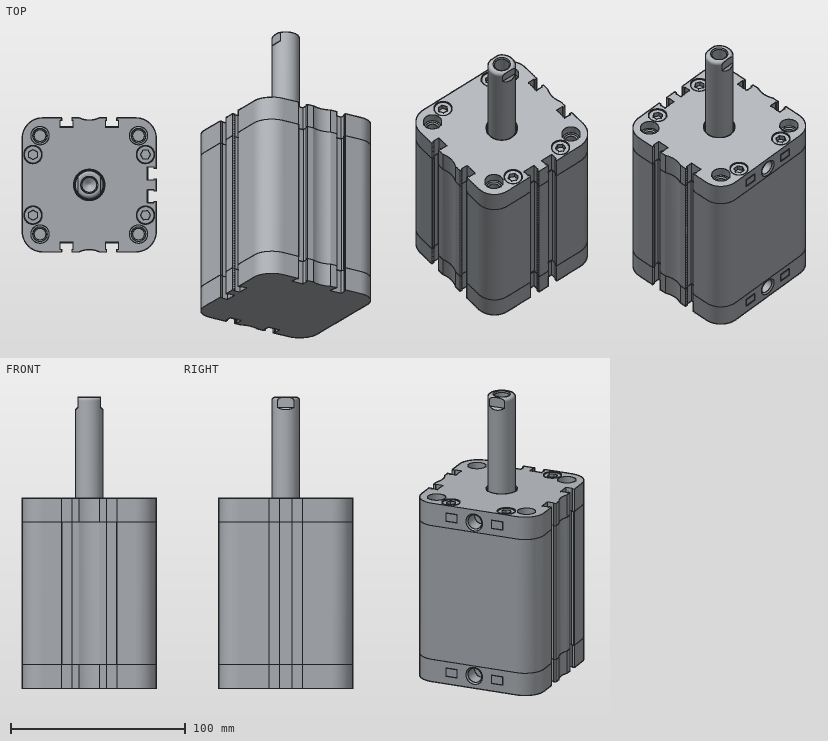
import cadquery as cq
import math

total_height = 167.0
body_width = 77.0
body_height = 109.2
cover_height = 13.7
corner_radius = 11.9
half_width = body_width / 2
barrel_top = body_height - cover_height

slot_mouth_width = 6.0
slot_inner_width = 7.3
cover_slot_depth = 5.3
barrel_slot_depth = 4.8
wide_slot_extra_depth = 0.3
slot_lip = 1.5
wide_slot_offset = 13.0
narrow_slot_offset = 6.5
concave_half_width = 5.8
concave_depth = 1.3

slot_edge_chamfer = 0.5
concave_edge_fillet = 1.3

rod_diameter = 16.0
rod_end_fillet = 2.0
rod_flat_width = 13.0
rod_flat_length = 5.8
rod_flat_run_out = 1.3
rod_bore_diameter = 8.5
rod_bore_mouth_diameter = 9.9
rod_bore_depth = 20.0
drill_point_angle = 118.0

rod_recess_diameter = 17.7
rod_recess_mouth_diameter = 18.0
rod_recess_depth = 1.3
rod_clearance_diameter = 16.5
rod_clearance_depth = 3.3

mount_offset = 28.2
mount_counterbore_diameter = 10.5
mount_counterbore_depth = 5.3
mount_mouth_diameter = 8.4
mount_hole_diameter = 6.7
mount_hole_depth = 11.7

screw_x = 32.2
screw_y = 17.4
screw_head_diameter = 9.9
screw_recess_diameter = 10.5
screw_gap_depth = 5.0
screw_head_sink = 0.5
socket_across_flats = 5.0
socket_depth = 3.3
screw_heads = [
    (-screw_x, -screw_y, 30.0),
    (-screw_x, screw_y, 30.0),
    (screw_x, screw_y, 0.0),
    (screw_x, -screw_y, 5.0),
]

port_end_distance = 7.7
port_diameter = 8.5
port_mouth_diameter = 10.4
port_depth = 10.0
feed_hole_diameter = 4.0
feed_hole_shift = 1.0
feed_hole_depth = 6.7
field_width = 7.0
field_height = 5.0
field_depth = 0.3
field_offset = 14.4
field_end_distance = 7.2


def slot_tool(along, side_angle, depth, chamfer, height):
    """T-slot cutter on the side facing side_angle; 'along' is its shift along that side.

    A chamfer above zero narrows the mouth on the edge nearest the corner and bevels that edge.
    """
    mouth = slot_mouth_width / 2
    inner = slot_inner_width / 2
    outward = math.copysign(1, along)
    outline = [
        (-mouth, 0),
        (-mouth, slot_lip),
        (-inner, slot_lip),
        (-inner, depth),
        (inner, depth),
        (inner, slot_lip),
        (mouth - chamfer, slot_lip),
    ]
    if chamfer > 0:
        outline.append((mouth - chamfer, chamfer))
    outline.append((mouth, 0))
    tool_points = [(half_width - inset, along + outward * shift) for shift, inset in outline]
    tool = cq.Workplane("XY").polyline(tool_points).close().extrude(height)
    return tool.rotate((0, 0, 0), (0, 0, 1), side_angle)


def concave_tool(side, height):
    """Cutter for the shallow arc along the middle of the -Y (side = -1) or +Y (side = 1) face."""
    face_y = side * half_width
    return (
        cq.Workplane("XY")
        .moveTo(-concave_half_width, face_y)
        .threePointArc((0, face_y - side * concave_depth), (concave_half_width, face_y))
        .close()
        .extrude(height)
    )


def profile_block(bottom, height, slot_depth, slot_chamfer):
    """Length of the body profile, with rounded corners, slots and concave strips.

    The chamfer applies to the slots of the -Y and +Y sides only.
    """
    block = (
        cq.Workplane("XY")
        .box(body_width, body_width, height, centered=(True, True, False))
        .edges("|Z")
        .fillet(corner_radius)
    )
    wide_slot_depth = slot_depth + wide_slot_extra_depth
    for sign in (-1, 1):
        block = block.cut(slot_tool(sign * narrow_slot_offset, 0, slot_depth, 0, height))
        for side_angle in (-90, 90):
            wide_slot = slot_tool(sign * wide_slot_offset, side_angle, wide_slot_depth, slot_chamfer, height)
            block = block.cut(wide_slot)
        block = block.cut(concave_tool(sign, height))
    return block.translate((0, 0, bottom))


def revolved(points):
    """Solid of revolution about Z from (radius, z) points."""
    return cq.Workplane("XZ").polyline(points).close().revolve(360, (0, 0, 0), (0, 1, 0))


def chamfered_hole(mouth_diameter, diameter, depth):
    """Cutter for a flat-bottomed hole going down from z = 0, with a 45 degree mouth."""
    mouth_radius = mouth_diameter / 2
    radius = diameter / 2
    chamfer = mouth_radius - radius
    return revolved([(0, 0), (mouth_radius, 0), (radius, -chamfer), (radius, -depth), (0, -depth)])


def mount_hole_tool():
    """Counterbored corner hole going down from z = 0."""
    counterbore = cq.Workplane("XY").circle(mount_counterbore_diameter / 2).extrude(-mount_counterbore_depth)
    narrow_depth = mount_hole_depth - mount_counterbore_depth
    hole = chamfered_hole(mount_mouth_diameter, mount_hole_diameter, narrow_depth)
    return counterbore.union(hole.translate((0, 0, -mount_counterbore_depth)))


def screw_head_tool(socket_turn):
    """Recess over a screw head, ring gap round it and its hexagonal socket, down from z = 0."""
    sink = cq.Workplane("XY").circle(screw_recess_diameter / 2).extrude(-screw_head_sink)
    gap = (
        cq.Workplane("XY")
        .circle(screw_recess_diameter / 2)
        .circle(screw_head_diameter / 2)
        .extrude(-screw_gap_depth)
    )
    across_corners = socket_across_flats / math.cos(math.pi / 6)
    socket = cq.Workplane("XY").polygon(6, across_corners).extrude(-socket_depth)
    return sink.union(gap).union(socket.rotate((0, 0, 0), (0, 0, 1), socket_turn))


def port_tool(z):
    """Chamfered air port going into the -X side at height z."""
    port = chamfered_hole(port_mouth_diameter, port_diameter, port_depth)
    return port.rotate((0, 0, 0), (0, 1, 0), -90).translate((-half_width, 0, z))


def cut_marking_fields(cover, z):
    """Two shallow rectangular fields beside the port."""
    for sign in (-1, 1):
        field = cq.Workplane("XY").box(field_depth, field_width, field_height, centered=(False, True, True))
        cover = cover.cut(field.translate((-half_width, sign * field_offset, z)))
    return cover


def make_barrel():
    barrel = profile_block(cover_height, barrel_top - cover_height, barrel_slot_depth, slot_edge_chamfer)
    for x in (-concave_half_width, concave_half_width):
        for y in (-half_width, half_width):
            edge = cq.selectors.NearestToPointSelector((x, y, (cover_height + barrel_top) / 2))
            barrel = barrel.edges("|Z").edges(edge).fillet(concave_edge_fillet)
    return barrel


def make_rear_cover():
    cover = profile_block(0, cover_height, cover_slot_depth, 0)
    cover = cover.cut(port_tool(port_end_distance))
    feed_hole = (
        cq.Workplane("YZ")
        .center(0, port_end_distance + feed_hole_shift)
        .circle(feed_hole_diameter / 2)
        .extrude(feed_hole_depth)
        .translate((port_depth - half_width, 0, 0))
    )
    cover = cover.cut(feed_hole)
    return cut_marking_fields(cover, field_end_distance)


def make_front_cover():
    cover = profile_block(barrel_top, cover_height, cover_slot_depth, 0)
    rod_hole = cq.Workplane("XY").circle(rod_diameter / 2).extrude(-cover_height)
    recess = chamfered_hole(rod_recess_mouth_diameter, rod_recess_diameter, rod_recess_depth)
    clearance = cq.Workplane("XY").circle(rod_clearance_diameter / 2).extrude(-rod_clearance_depth)
    cover = cover.cut(rod_hole.union(clearance).union(recess).translate((0, 0, body_height)))
    for x in (-mount_offset, mount_offset):
        for y in (-mount_offset, mount_offset):
            cover = cover.cut(mount_hole_tool().translate((x, y, body_height)))
    for x, y, socket_turn in screw_heads:
        cover = cover.cut(screw_head_tool(socket_turn).translate((x, y, body_height)))
    cover = cover.cut(port_tool(body_height - port_end_distance))
    return cut_marking_fields(cover, body_height - field_end_distance)


def flat_tool():
    """Cutter for the flat on the +X side of the rod end, with a sloping run-out."""
    inner = rod_flat_width / 2
    outer = rod_diameter / 2
    shoulder = total_height - rod_flat_length
    outline = [
        (inner, total_height),
        (inner, shoulder),
        (outer, shoulder - rod_flat_run_out),
        (outer, total_height),
    ]
    return cq.Workplane("XZ").polyline(outline).close().extrude(outer, both=True)


def make_piston_rod():
    rod = (
        cq.Workplane("XY")
        .workplane(offset=barrel_top)
        .circle(rod_diameter / 2)
        .extrude(total_height - barrel_top)
        .faces(">Z")
        .edges()
        .fillet(rod_end_fillet)
    )
    flat = flat_tool()
    rod = rod.cut(flat).cut(flat.mirror("YZ"))
    bore_radius = rod_bore_diameter / 2
    mouth_radius = rod_bore_mouth_diameter / 2
    point_length = bore_radius / math.tan(math.radians(drill_point_angle / 2))
    bore = revolved([
        (0, 0),
        (mouth_radius, 0),
        (bore_radius, bore_radius - mouth_radius),
        (bore_radius, -rod_bore_depth),
        (0, -rod_bore_depth - point_length),
    ])
    return rod.cut(bore.translate((0, 0, total_height)))


rear_cover = make_rear_cover()
barrel = make_barrel()
front_cover = make_front_cover()
piston_rod = make_piston_rod()

result = cq.Compound.makeCompound([
    rear_cover.val(),
    barrel.val(),
    front_cover.val(),
    piston_rod.val(),
])